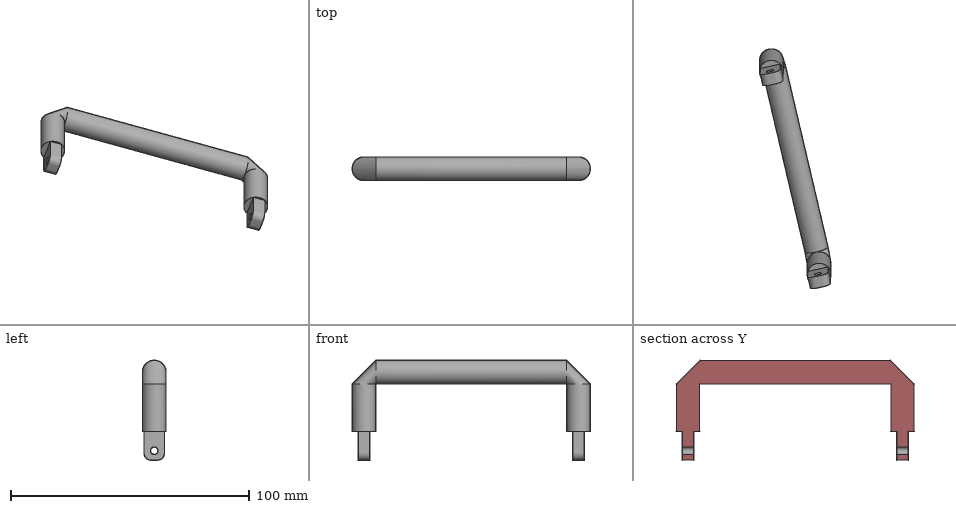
import cadquery as cq
import math

length = 100.0
rod_diameter = 10.0
leg_height = 20.0
tab_height = 12.0
tab_thickness = 5.0
tab_corner_radius = 3.0
hole_diameter = 3.0
hole_height = 4.0

rod_radius = rod_diameter / 2
leg_x = length / 2 - rod_radius
leg_top = tab_height + leg_height
bar_length = length - 2 * rod_diameter
tab_width = math.sqrt(rod_diameter**2 - tab_thickness**2)


def make_bar():
    """Horizontal round grip between the two elbows."""
    return (
        cq.Workplane("YZ", origin=(-bar_length / 2, 0, leg_top + rod_radius))
        .circle(rod_radius)
        .extrude(bar_length)
    )


def make_elbow():
    """Leg circle extruded obliquely at 45 degrees and cut flush with the end of the bar."""
    inner_point = (-rod_radius, 0)
    outer_point = (rod_radius, 0)
    leg_circle = (
        cq.Workplane("XY", origin=(leg_x, 0, leg_top))
        .moveTo(*inner_point)
        .threePointArc((0, -rod_radius), outer_point)
        .threePointArc((0, rod_radius), inner_point)
        .close()
        .val()
    )
    slant = cq.Vector(-rod_diameter, 0, rod_diameter)
    oblique_cylinder = cq.Workplane(cq.Solid.extrudeLinear(leg_circle, [], slant))
    beyond_bar_end = cq.Workplane("XY", origin=(bar_length / 2, 0, leg_top)).box(
        2 * rod_diameter, 2 * rod_diameter, 4 * rod_diameter, centered=(False, True, True)
    )
    return oblique_cylinder.intersect(beyond_bar_end)


def make_leg():
    """Vertical round leg on the right side."""
    return cq.Workplane("XY", origin=(leg_x, 0, tab_height)).circle(rod_radius).extrude(leg_height)


def make_tab():
    """Flat mounting tab below the right leg, with rounded lower corners and a cross hole."""
    tab = (
        cq.Workplane("XY", origin=(leg_x, 0, 0))
        .box(tab_thickness, tab_width, tab_height, centered=(True, True, False))
        .edges("|X and <Z")
        .fillet(tab_corner_radius)
    )
    hole = (
        cq.Workplane("YZ", origin=(leg_x, 0, hole_height))
        .circle(hole_diameter / 2)
        .extrude(tab_thickness, both=True)
    )
    return tab.cut(hole)


right_side = make_leg().union(make_elbow()).union(make_tab())
left_side = right_side.mirror("YZ")
result = make_bar().union(right_side).union(left_side)